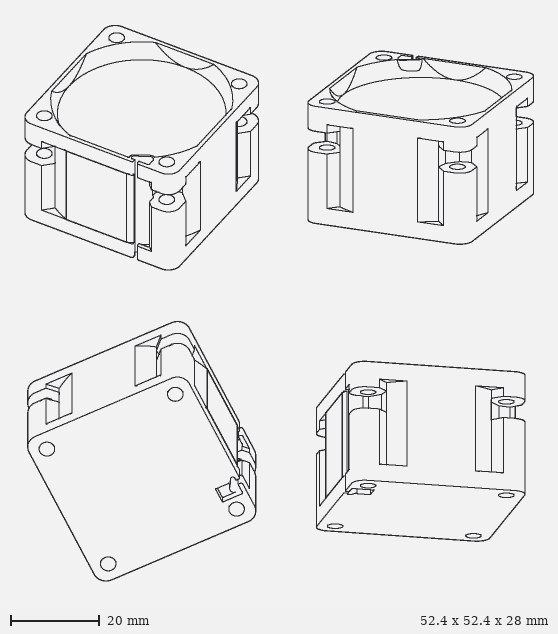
import cadquery as cq
import math

SIDE = 40.0
HALF_SIDE = SIDE / 2
HEIGHT = 28.0
CORNER_RADIUS = 3.0
TURN_ANGLE = 30.0

HOLE_OFFSET = 16.0
HOLE_DIAMETER = 3.5

CORNER_ANGLES = (45, 135, 225, 315)

RECESS_DEPTH = 4.0
RECESS_TOP_RADIUS = 20.5
RECESS_FLOOR_RADIUS = 19.0
RIM_WALL = 1.0

FLANGE_THICKNESS = 4.0
WINDOW_HEIGHT = HEIGHT - 2 * FLANGE_THICKNESS
DRUM_RADIUS = 21.5
POST_WIDTH = 8.0

GAP_BOTTOM = 17.0
GAP_TOP = 22.0
GAP_FACE_DISTANCE = 19.6
GAP_FACE_WIDTH = 3.4

PLATE_HALF_WIDTH = math.sqrt(DRUM_RADIUS**2 - HALF_SIDE**2)
PLATE_RAISE = 0.1

CHANNEL_FLOOR_Y = -HALF_SIDE + RIM_WALL
CHANNEL_RIGHT_X = 13.05
CHANNEL_BIG_RADIUS = 0.95
CHANNEL_SMALL_RADIUS = 0.5
CHANNEL_BIG_Y = -17.2
CHANNEL_SMALL_X = 8.8
CHANNEL_CORNER_RADIUS = 0.3
CHANNEL_WALL = 0.45

SLOT_LEFT_X = 9.4
SLOT_RIGHT_X = 10.5
LEFT_LIP_RADIUS = 0.3
RIGHT_LIP_RADIUS = 0.45

RELIEF_HEIGHT = 2.25
RELIEF_BACK_Y = -13.9


def housing_block():
    block = cq.Workplane("XY").rect(SIDE, SIDE).extrude(HEIGHT)
    return block.edges("|Z").fillet(CORNER_RADIUS)


def at_each_corner(feature):
    """Copies of a feature built along +X, turned onto the four diagonals."""
    copies = cq.Workplane("XY")
    for angle in CORNER_ANGLES:
        copies = copies.add(feature.rotate((0, 0, 0), (0, 0, 1), angle))
    return copies.combine()


def mounting_holes():
    hole_distance = HOLE_OFFSET * math.sqrt(2)
    hole = cq.Workplane("XY").center(hole_distance, 0).circle(HOLE_DIAMETER / 2).extrude(HEIGHT)
    return at_each_corner(hole)


def side_windows():
    """Everything outside the drum and the diagonal corner posts, between the two flanges."""
    level = cq.Workplane("XY", origin=(0, 0, FLANGE_THICKNESS))
    windows = level.rect(SIDE, SIDE).extrude(WINDOW_HEIGHT)
    windows = windows.cut(level.circle(DRUM_RADIUS).extrude(WINDOW_HEIGHT))
    post = level.center(HALF_SIDE, 0).rect(SIDE, POST_WIDTH).extrude(WINDOW_HEIGHT)
    return windows.cut(at_each_corner(post))


def post_gaps():
    """Breaks in the posts: a narrow inner face, flared to the post width and open at the corner."""
    half_width = POST_WIDTH / 2
    shoulder_distance = math.sqrt(DRUM_RADIUS**2 - half_width**2)
    gap = (
        cq.Workplane("XY", origin=(0, 0, GAP_BOTTOM))
        .moveTo(GAP_FACE_DISTANCE, -GAP_FACE_WIDTH / 2)
        .lineTo(shoulder_distance, -half_width)
        .lineTo(SIDE, -half_width)
        .lineTo(SIDE, half_width)
        .lineTo(shoulder_distance, half_width)
        .lineTo(GAP_FACE_DISTANCE, GAP_FACE_WIDTH / 2)
        .close()
        .extrude(GAP_TOP - GAP_BOTTOM)
    )
    return at_each_corner(gap)


def label_plate():
    return (
        cq.Workplane("XY", origin=(0, -HALF_SIDE, FLANGE_THICKNESS))
        .rect(2 * PLATE_HALF_WIDTH, 2 * PLATE_RAISE)
        .extrude(WINDOW_HEIGHT)
    )


def channel_prism(margin, bottom, height):
    """Teardrop passage, grown all round by margin."""
    big_x = CHANNEL_RIGHT_X - CHANNEL_BIG_RADIUS
    small_y = CHANNEL_FLOOR_Y + CHANNEL_SMALL_RADIUS
    big_radius = CHANNEL_BIG_RADIUS + margin
    small_radius = CHANNEL_SMALL_RADIUS + margin
    corner_radius = CHANNEL_CORNER_RADIUS + margin
    right_x = CHANNEL_RIGHT_X + margin
    floor_y = CHANNEL_FLOOR_Y - margin

    run = big_x - CHANNEL_SMALL_X
    rise = CHANNEL_BIG_Y - small_y
    slope = math.atan2(rise, run)
    lean = math.asin((CHANNEL_BIG_RADIUS - CHANNEL_SMALL_RADIUS) / math.hypot(run, rise))
    normal = math.pi / 2 + slope + lean

    def on_big(angle):
        return (big_x + big_radius * math.cos(angle), CHANNEL_BIG_Y + big_radius * math.sin(angle))

    def on_small(angle):
        return (CHANNEL_SMALL_X + small_radius * math.cos(angle), small_y + small_radius * math.sin(angle))

    small_end = 3 * math.pi / 2
    outline = (
        cq.Workplane("XY", origin=(0, 0, bottom))
        .moveTo(*on_small(small_end))
        .lineTo(right_x - corner_radius, floor_y)
        .radiusArc((right_x, floor_y + corner_radius), -corner_radius)
        .lineTo(right_x, CHANNEL_BIG_Y)
        .threePointArc(on_big(normal / 2), on_big(normal))
        .lineTo(*on_small(normal))
        .threePointArc(on_small((normal + small_end) / 2), on_small(small_end))
        .close()
    )
    return outline.extrude(height)


def top_recess():
    """Cone trimmed by the four rim walls, leaving the cable channel walled off."""
    floor_z = HEIGHT - RECESS_DEPTH
    inner_side = SIDE - 2 * RIM_WALL
    level = cq.Workplane("XY", origin=(0, 0, floor_z))
    cone = (
        level.circle(RECESS_FLOOR_RADIUS)
        .workplane(offset=RECESS_DEPTH)
        .circle(RECESS_TOP_RADIUS)
        .loft(ruled=True)
    )
    recess = cone.intersect(level.rect(inner_side, inner_side).extrude(RECESS_DEPTH))
    return recess.cut(channel_prism(CHANNEL_WALL, floor_z, RECESS_DEPTH))


def slot_opening():
    """Straight slot through the -Y wall, flared by the rounded lips."""
    outer_y = -HALF_SIDE
    left_round_y = outer_y + LEFT_LIP_RADIUS
    right_round_y = outer_y + RIGHT_LIP_RADIUS
    inside_y = CHANNEL_FLOOR_Y + CHANNEL_SMALL_RADIUS
    return (
        cq.Workplane("XY")
        .moveTo(SLOT_LEFT_X, inside_y)
        .lineTo(SLOT_LEFT_X, left_round_y)
        .radiusArc((SLOT_LEFT_X - LEFT_LIP_RADIUS, outer_y), LEFT_LIP_RADIUS)
        .lineTo(SLOT_RIGHT_X + RIGHT_LIP_RADIUS, outer_y)
        .radiusArc((SLOT_RIGHT_X, right_round_y), RIGHT_LIP_RADIUS)
        .lineTo(SLOT_RIGHT_X, inside_y)
        .close()
        .extrude(HEIGHT)
    )


def channel_relief():
    """Widens the channel toward the centre just above the bottom face."""
    width = CHANNEL_RIGHT_X - SLOT_LEFT_X
    return (
        cq.Workplane("XY")
        .moveTo(SLOT_LEFT_X + width / 2, (CHANNEL_BIG_Y + RELIEF_BACK_Y) / 2)
        .rect(width, RELIEF_BACK_Y - CHANNEL_BIG_Y)
        .extrude(RELIEF_HEIGHT)
    )


housing = housing_block()
housing = housing.cut(side_windows())
housing = housing.cut(post_gaps())
housing = housing.union(label_plate())
housing = housing.cut(top_recess())
housing = housing.cut(mounting_holes())
housing = housing.cut(channel_prism(0, 0, HEIGHT))
housing = housing.cut(slot_opening())
housing = housing.cut(channel_relief())

result = housing.rotate((0, 0, 0), (0, 0, 1), TURN_ANGLE)